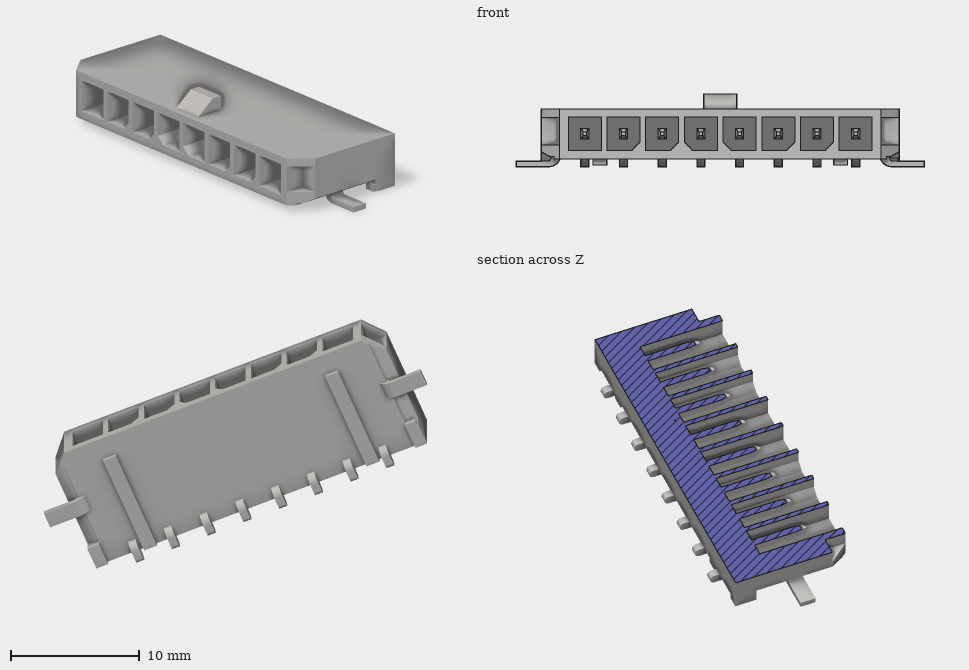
import cadquery as cq


body_width = 27.78
body_depth = 9.9
body_bottom = 0.6
body_top = 4.5
half_width = body_width / 2
corner_x = 1.42
corner_y = 1.7
corner_pocket_bottom = 1.7
corner_pocket_top = 3.83

foot_bottom = 0.13
foot_depth = 1.8
relief_width = 0.98
relief_flat_start = 0.7
relief_outer_z = 1.17
relief_inner_z = 0.8

toe_top = 0.7
toe_inset = 0.1
toe_length = 0.32

rail_width = 1.08
rail_front = 1.6
rail_offset = 9.33

key_sides = (0, 1, 1, -1, -1, 1, 1, 0)
row_span = 21.0
pitch = row_span / (len(key_sides) - 1)
axis_z = 2.55
cavity_size = 2.55
cavity_depth = 6.95
key_chamfer = 0.63

pin_width = 0.63
blade_height = 0.82
pin_tip_y = 2.53
tip_shoulder_length = 0.47
tip_point_length = 0.47
tip_shoulder_inset = 0.1
tip_size = 0.3
tail_end_y = 10.7
tail_thickness = 0.73
tail_round = 0.35
tail_bend_radius = 0.82
leg_front_y = 8.9

latch_width = 2.6
latch_top = 5.65
latch_rear = 2.95
latch_flat = 0.82
latch_front = 0.6

overall_width = 31.65
nail_width = 1.25
nail_thickness = 0.45
nail_centre_y = 4.6
nail_bend_radius = 0.25
nail_outer_radius = 0.92
nail_leg_thickness = 0.75
nail_leg_inset = 0.75
nail_top = 1.9


def box(x_min, x_max, y_min, y_max, z_min, z_max):
    size = (x_max - x_min, y_max - y_min, z_max - z_min)
    return cq.Workplane("XY").box(*size, centered=False).translate((x_min, y_min, z_min))


def both_ends(left_part):
    return left_part.union(left_part.mirror("YZ"))


def make_housing():
    outline = (
        cq.Workplane("XY")
        .moveTo(-half_width, body_depth)
        .lineTo(half_width, body_depth)
        .lineTo(half_width, corner_y)
        .lineTo(half_width - corner_x, 0)
        .lineTo(-half_width + corner_x, 0)
        .lineTo(-half_width, corner_y)
        .close()
    )
    housing = outline.extrude(body_top - body_bottom).translate((0, 0, body_bottom))

    corner = box(
        -half_width, -half_width + corner_x, 0, corner_y, corner_pocket_bottom, corner_pocket_top
    )

    relief = (
        cq.Workplane("XZ")
        .moveTo(-half_width, 0)
        .lineTo(-half_width, relief_outer_z)
        .lineTo(-half_width + relief_flat_start, relief_inner_z)
        .lineTo(-half_width + relief_width, relief_inner_z)
        .lineTo(-half_width + relief_width, 0)
        .close()
        .extrude(-(body_depth - foot_depth))
    )

    foot = box(
        -half_width, -half_width + relief_width,
        body_depth - foot_depth, body_depth,
        foot_bottom, body_bottom,
    )
    rail = box(
        -rail_offset - rail_width / 2, -rail_offset + rail_width / 2,
        rail_front, body_depth,
        foot_bottom, body_bottom,
    )
    toe = box(
        half_width - relief_width, half_width - toe_inset,
        body_depth - foot_depth - toe_length, body_depth - foot_depth,
        foot_bottom, toe_top,
    )
    for pocket in (corner, relief):
        housing = housing.cut(both_ends(pocket))
    for support in (foot, rail):
        housing = housing.union(both_ends(support))
    return housing.union(toe)


def make_latch():
    return (
        cq.Workplane("YZ")
        .moveTo(latch_rear, body_top)
        .lineTo(latch_rear, latch_top)
        .lineTo(latch_rear - latch_flat, latch_top)
        .lineTo(latch_front, body_top)
        .close()
        .extrude(latch_width / 2, both=True)
    )


def make_cavity(key_side):
    cavity = box(
        -cavity_size / 2, cavity_size / 2,
        0, cavity_depth,
        axis_z - cavity_size / 2, axis_z + cavity_size / 2,
    )
    if key_side:
        edge = "<X and <Z" if key_side < 0 else ">X and <Z"
        cavity = cavity.edges("|Y").edges(edge).chamfer(key_chamfer)
    return cavity


def taper(base_y, length, base_size, end_size):
    return (
        cq.Workplane("XZ", origin=(0, base_y, axis_z))
        .rect(*base_size)
        .workplane(offset=length)
        .rect(*end_size)
        .loft(ruled=True)
    )


def make_pin():
    blade_start = pin_tip_y + tip_point_length + tip_shoulder_length
    blade = box(
        -pin_width / 2, pin_width / 2,
        blade_start, leg_front_y + tail_thickness,
        axis_z - blade_height / 2, axis_z + blade_height / 2,
    )
    shoulder_size = (pin_width - 2 * tip_shoulder_inset, blade_height - 2 * tip_shoulder_inset)
    shoulder = taper(blade_start, tip_shoulder_length, (pin_width, blade_height), shoulder_size)
    point = taper(pin_tip_y + tip_point_length, tip_point_length, shoulder_size, (tip_size, tip_size))
    leg = box(
        -pin_width / 2, pin_width / 2,
        leg_front_y, leg_front_y + tail_thickness,
        0, axis_z,
    )
    tail = box(
        -pin_width / 2, pin_width / 2,
        leg_front_y, tail_end_y,
        0, tail_thickness,
    ).edges(">Y and |X").fillet(tail_round)
    bent_tail = leg.union(tail).edges("<Y and <Z").fillet(tail_bend_radius)
    return blade.union(shoulder).union(point).union(bent_tail)


def make_nail():
    leg_outer_x = -half_width + nail_leg_inset
    leg_inner_x = leg_outer_x + nail_leg_thickness
    strip_end_x = -overall_width / 2
    return (
        cq.Workplane("XZ")
        .moveTo(strip_end_x, 0)
        .lineTo(leg_inner_x - nail_outer_radius, 0)
        .radiusArc((leg_inner_x, nail_outer_radius), -nail_outer_radius)
        .lineTo(leg_inner_x, nail_top)
        .lineTo(leg_outer_x, nail_top)
        .lineTo(leg_outer_x, nail_thickness + nail_bend_radius)
        .radiusArc((leg_outer_x - nail_bend_radius, nail_thickness), nail_bend_radius)
        .lineTo(strip_end_x, nail_thickness)
        .close()
        .extrude(nail_width / 2, both=True)
        .translate((0, nail_centre_y, 0))
    )


result = make_housing().union(make_latch())
pin = make_pin()
for index, key_side in enumerate(key_sides):
    pin_x = -row_span / 2 + index * pitch
    result = result.cut(make_cavity(key_side).translate((pin_x, 0, 0)))
    result = result.union(pin.translate((pin_x, 0, 0)))
result = result.union(both_ends(make_nail()))